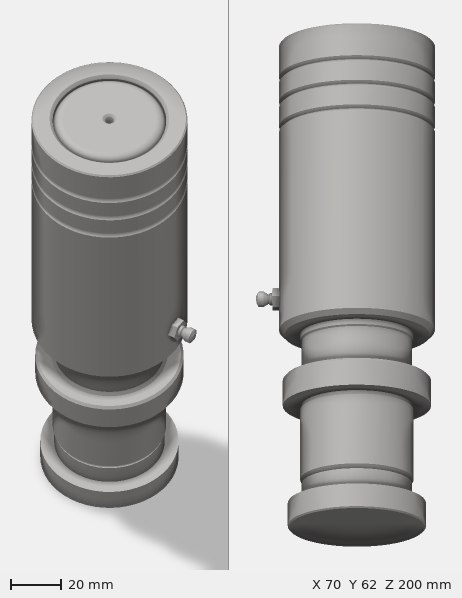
import cadquery as cq
import math

total_height = 200.0
pillar_radius = 22.5
neck_radius = 22.0

cap_radius = 55.0 / 2
cap_spigot_radius = neck_radius
cap_flange_height = 10.0
cap_height = 18.0
cap_edge_chamfer = 0.5

pillar_foot_chamfer = 1.8
relief_bottom = 48.5
relief_slope = 0.5
collar_radius = 59.0 / 2
collar_bottom = 50.5
collar_top = 61.8
collar_chamfer = 1.0
collar_root_width = 1.2
collar_root_height = 1.2
neck_top = 77.0
neck_slope = 0.5
pillar_top_fillet = 4.0

centre_mouth_radius = 2.8
centre_cone_radius = 1.8
centre_mouth_depth = 0.8
centre_cone_depth = 4.2

bush_radius = 31.0
bush_bottom = 79.8
bush_foot_chamfer = 2.0
bush_top_chamfer = 0.5
bore_chamfer = 1.2
groove_count = 3
groove_pitch = 10.2
groove_width = 2.5
groove_depth = groove_width / 2
first_groove_z = 185.5

nipple_z = 94.8
nipple_angle = -15.0
hex_across_flats = 8.0
hex_start = 30.0
hex_end = 33.5
nipple_root_end = 34.5
nipple_neck_end = 35.0
nipple_root_radius = 2.5
nipple_neck_radius = 1.8
nipple_head_radius = 3.0
nipple_tip_radius = 1.5
nipple_head_start = 37.0
nipple_head_end = 39.2
nipple_tip = 40.0


def revolve_profile(points):
    """Turn a closed (radius, height) outline about the Z axis."""
    return cq.Workplane("XZ").polyline(points).close().revolve(360, (0, 0), (0, 1))


def make_end_cap():
    spigot_height = cap_height - cap_flange_height
    flange = cq.Workplane("XY").circle(cap_radius).extrude(cap_flange_height)
    flange = flange.faces("<Z").edges().chamfer(cap_edge_chamfer)
    return flange.faces(">Z").workplane().circle(cap_spigot_radius).extrude(spigot_height)


def make_centre_drilling():
    return revolve_profile([
        (0, total_height),
        (centre_mouth_radius, total_height),
        (centre_cone_radius, total_height - centre_mouth_depth),
        (0, total_height - centre_cone_depth),
    ])


def make_pillar():
    relief_step = relief_bottom + relief_slope
    pillar = revolve_profile([
        (0, cap_height),
        (pillar_radius - pillar_foot_chamfer, cap_height),
        (pillar_radius, cap_height + pillar_foot_chamfer),
        (pillar_radius, relief_bottom),
        (neck_radius, relief_step),
        (neck_radius, collar_bottom),
        (collar_radius, collar_bottom),
        (collar_radius, collar_top - collar_chamfer),
        (collar_radius - collar_chamfer, collar_top),
        (neck_radius + collar_root_width, collar_top),
        (neck_radius, collar_top + collar_root_height),
        (neck_radius, neck_top),
        (pillar_radius, neck_top + neck_slope),
        (pillar_radius, total_height),
        (0, total_height),
    ])
    pillar = pillar.faces(">Z").edges().fillet(pillar_top_fillet)
    return pillar.cut(make_centre_drilling())


def make_groove(z):
    """V-shaped ring that cuts a groove round the bush at height z."""
    return revolve_profile([
        (bush_radius - groove_depth, z),
        (bush_radius, z - groove_width / 2),
        (bush_radius, z + groove_width / 2),
    ])


def make_bush(nipple):
    bush = revolve_profile([
        (pillar_radius, bush_bottom),
        (bush_radius - bush_foot_chamfer, bush_bottom),
        (bush_radius, bush_bottom + bush_foot_chamfer),
        (bush_radius, total_height - bush_top_chamfer),
        (bush_radius - bush_top_chamfer, total_height),
        (pillar_radius + bore_chamfer, total_height),
        (pillar_radius, total_height - bore_chamfer),
    ])
    for index in range(groove_count):
        bush = bush.cut(make_groove(first_groove_z - index * groove_pitch))
    return bush.cut(nipple)


def make_nipple():
    hex_across_corners = hex_across_flats / math.cos(math.radians(30))
    hexagon = (
        cq.Workplane("XY")
        .workplane(offset=hex_start)
        .polygon(6, hex_across_corners)
        .extrude(hex_end - hex_start)
        .rotate((0, 0, 0), (0, 0, 1), 90)
    )
    head = revolve_profile([
        (0, hex_end),
        (nipple_root_radius, hex_end),
        (nipple_root_radius, nipple_root_end),
        (nipple_neck_radius, nipple_neck_end),
        (nipple_head_radius, nipple_head_start),
        (nipple_head_radius, nipple_head_end),
        (nipple_tip_radius, nipple_tip),
        (0, nipple_tip),
    ])
    nipple = hexagon.union(head)
    nipple = nipple.rotate((0, 0, 0), (0, 1, 0), 90)
    nipple = nipple.rotate((0, 0, 0), (0, 0, 1), nipple_angle)
    return nipple.translate((0, 0, nipple_z))


end_cap = make_end_cap()
pillar = make_pillar()
nipple = make_nipple()
bush = make_bush(nipple)

result = cq.Compound.makeCompound([end_cap.val(), pillar.val(), bush.val(), nipple.val()])